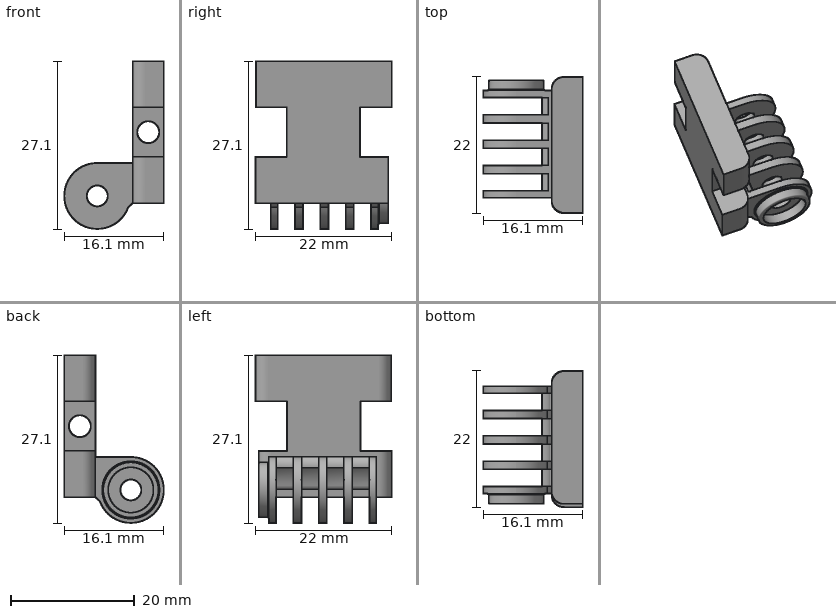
import cadquery as cq
import math


plate_front = 5.7
plate_thickness = 5.07
plate_middle = plate_front + plate_thickness / 2
corner_radius = 2.0
foot_height = 7.48
plate_bottom = -1.2
neck_height = 8.0
neck_bottom = plate_bottom + foot_height
neck_top = neck_bottom + neck_height
lower_foot_y = (-11.15, 10.33)
upper_foot_y = (-11.05, 10.87)
neck_y = (-6.1, 5.77)
neck_hole_diameter = 3.5

finger_radius = 5.35
outer_finger_width = 1.17
inner_finger_width = 1.35
inner_finger_count = 3
finger_gap = 2.75
finger_pitch = inner_finger_width + finger_gap
gap_count = inner_finger_count + 1
fingers_total = 2 * outer_finger_width + inner_finger_count * inner_finger_width
hinge_width = fingers_total + gap_count * finger_gap
outer_finger_y = (hinge_width - outer_finger_width) / 2
heel_x = 5.02
heel_z = -math.sqrt(finger_radius**2 - heel_x**2)
pin_hole_diameter = 3.33

web_top_x = 5.18
web_nose_radius = 1.95
web_nose_x = 4.12
clearance_radius = 5.48
clearance_end_z = 0.57
web_bottom_z = 0.08

boss_diameter = 8.9
boss_end_y = lower_foot_y[1]
boss_root_flare = 0.2
boss_rim_radius = 0.2
boss_recess_diameter = 7.32


def along_y(y_start, y_end):
    """Workplane for an XZ profile that is extruded toward +Y."""
    plane = cq.Plane(origin=(0, y_start, 0), xDir=(1, 0, 0), normal=(0, -1, 0))
    return cq.Workplane(plane), y_start - y_end


def plate_block(y_range, z_bottom, height):
    """Box spanning the plate thickness."""
    y_start, y_end = y_range
    block = cq.Workplane("XY").box(plate_thickness, y_end - y_start, height, centered=False)
    return block.translate((plate_front, y_start, z_bottom))


def foot(y_range, z_bottom):
    """Plate block with its two front vertical edges rounded."""
    return plate_block(y_range, z_bottom, foot_height).edges("|Z and <X").fillet(corner_radius)


def finger(y_center, width):
    """Rounded hinge finger reaching into the plate."""
    plane, depth = along_y(y_center - width / 2, y_center + width / 2)
    return (
        plane.moveTo(plate_middle, finger_radius)
        .lineTo(0, finger_radius)
        .threePointArc((-finger_radius, 0), (0, -finger_radius))
        .radiusArc((heel_x, heel_z), -finger_radius)
        .lineTo(plate_front, plate_bottom)
        .lineTo(plate_middle, plate_bottom)
        .close()
        .extrude(depth)
    )


def web():
    """Strip with a rounded nose above and a clearance arc around the pin axis below."""
    nose_z = math.sqrt(clearance_radius**2 - web_nose_x**2)
    nose_center_x = web_nose_x + web_nose_radius
    top_angle = math.atan2(finger_radius - nose_z, web_top_x - nose_center_x)
    nose_mid_angle = (top_angle + math.pi) / 2
    nose_mid = (
        nose_center_x + web_nose_radius * math.cos(nose_mid_angle),
        nose_z + web_nose_radius * math.sin(nose_mid_angle),
    )
    clearance_end_x = math.sqrt(clearance_radius**2 - clearance_end_z**2)
    clearance_start_angle = math.asin(nose_z / clearance_radius)
    clearance_end_angle = math.asin(clearance_end_z / clearance_radius)
    clearance_mid_angle = (clearance_start_angle + clearance_end_angle) / 2
    clearance_mid = (
        clearance_radius * math.cos(clearance_mid_angle),
        clearance_radius * math.sin(clearance_mid_angle),
    )
    plane, depth = along_y(-outer_finger_y, outer_finger_y)
    return (
        plane.moveTo(plate_middle, finger_radius)
        .lineTo(web_top_x, finger_radius)
        .threePointArc(nose_mid, (web_nose_x, nose_z))
        .threePointArc(clearance_mid, (clearance_end_x, clearance_end_z))
        .lineTo(plate_front, web_bottom_z)
        .lineTo(plate_middle, web_bottom_z)
        .close()
        .extrude(depth)
    )


def boss():
    """Turned boss with a flared root and a rounded rim."""
    radius = boss_diameter / 2
    root_y = hinge_width / 2
    return (
        cq.Workplane("XY")
        .moveTo(0, root_y - outer_finger_width / 2)
        .lineTo(radius + boss_root_flare, root_y - outer_finger_width / 2)
        .lineTo(radius + boss_root_flare, root_y)
        .lineTo(radius, root_y + boss_root_flare)
        .lineTo(radius, boss_end_y - boss_rim_radius)
        .radiusArc((radius - boss_rim_radius, boss_end_y), -boss_rim_radius)
        .lineTo(0, boss_end_y)
        .close()
        .revolve(360, (0, 0, 0), (0, 1, 0))
    )


def cross_hole(diameter, x, z, y_start=lower_foot_y[0]):
    """Cutter along Y from y_start out through the +Y side; by default it passes through the whole part."""
    plane, depth = along_y(y_start, upper_foot_y[1])
    return plane.center(x, z).circle(diameter / 2).extrude(depth)


plate = foot(lower_foot_y, plate_bottom)
plate = plate.union(foot(upper_foot_y, neck_top))
plate = plate.union(plate_block(neck_y, neck_bottom, neck_height))

hinge = web().union(boss())
for y_center in (-outer_finger_y, outer_finger_y):
    hinge = hinge.union(finger(y_center, outer_finger_width))
for index in range(inner_finger_count):
    y_center = (index - (inner_finger_count - 1) / 2) * finger_pitch
    hinge = hinge.union(finger(y_center, inner_finger_width))

result = plate.union(hinge)
result = result.cut(cross_hole(pin_hole_diameter, 0, 0))
result = result.cut(cross_hole(neck_hole_diameter, plate_middle, (neck_bottom + neck_top) / 2))

result = result.cut(cross_hole(boss_recess_diameter, 0, 0, y_start=hinge_width / 2))